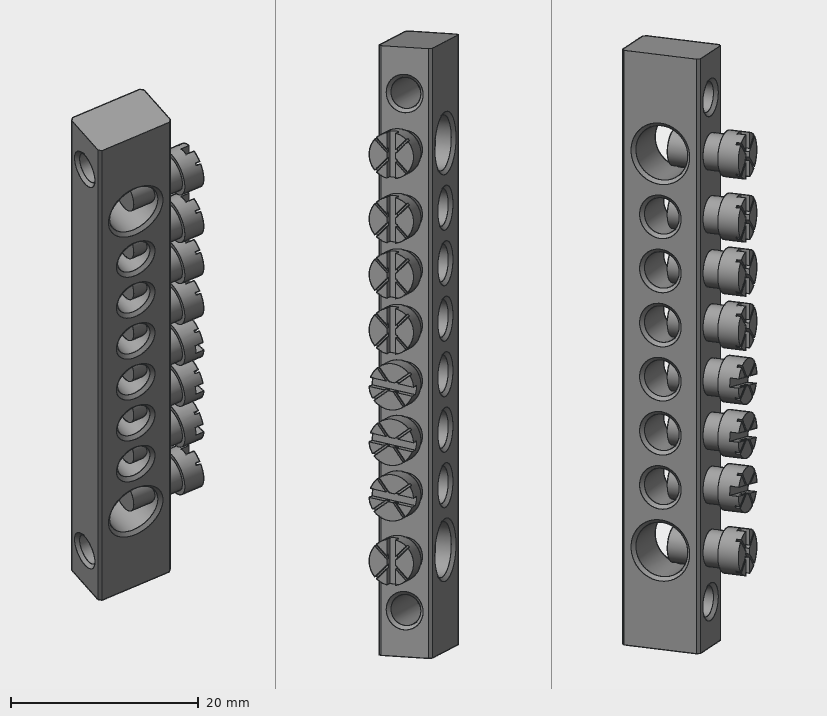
import cadquery as cq

BAR_WIDTH = 6.0
BAR_DEPTH = 9.05
BAR_HEIGHT = 66.0
BAR_EDGE_CHAMFER = 0.3

MOUNT_HOLE_DIAMETER = 3.35
MOUNT_HOLE_CHAMFER = 0.4
MOUNT_HOLE_END_DISTANCE = 5.0

SMALL_HOLE_DIAMETER = 4.0
LARGE_HOLE_DIAMETER = 6.0
WIRE_HOLE_CHAMFER = 0.4
SMALL_HOLE_COUNT = 6
SMALL_HOLE_PITCH = 6.0
LARGE_HOLE_PITCH = 7.0

SCREW_PROJECTION = 4.3
HEAD_DIAMETER = 5.0
HEAD_LENGTH = 2.4
SHANK_DIAMETER = 4.0
SCREW_LENGTH = 8.45
SLOT_WIDTH = 1.0
SLOT_DEPTH = 1.0
MARK_WIDTH = 0.25
MARK_DEPTH = 0.5
MARK_ANGLES = (45, -45)

SLOT_ALONG_BAR = 0
SLOT_ACROSS_BAR = 81
SCREW_TURNS = [SLOT_ALONG_BAR] + 3 * [SLOT_ACROSS_BAR] + 4 * [SLOT_ALONG_BAR]

SHANK_LENGTH = SCREW_LENGTH - HEAD_LENGTH
BACK_FACE_Y = BAR_DEPTH / 2
SCREW_TOP_Y = BACK_FACE_Y + SCREW_PROJECTION
SCREW_TIP_Y = SCREW_TOP_Y - SCREW_LENGTH

SMALL_ROW_HALF = (SMALL_HOLE_COUNT - 1) * SMALL_HOLE_PITCH / 2
SMALL_HOLE_HEIGHTS = [i * SMALL_HOLE_PITCH - SMALL_ROW_HALF for i in range(SMALL_HOLE_COUNT)]
LARGE_HOLE_HEIGHT = SMALL_ROW_HALF + LARGE_HOLE_PITCH
LARGE_HOLE_HEIGHTS = [-LARGE_HOLE_HEIGHT, LARGE_HOLE_HEIGHT]
SCREW_HEIGHTS = sorted(SMALL_HOLE_HEIGHTS + LARGE_HOLE_HEIGHTS)
MOUNT_HOLE_HEIGHT = BAR_HEIGHT / 2 - MOUNT_HOLE_END_DISTANCE


def chamfered_hole_cutter(diameter, length, chamfer):
    """Cutter along Z, centred on the origin, that flares at both ends."""
    radius = diameter / 2
    half = length / 2
    profile = [
        (0, -half),
        (radius + chamfer, -half),
        (radius, chamfer - half),
        (radius, half - chamfer),
        (radius + chamfer, half),
        (0, half),
    ]
    return cq.Workplane("XZ").polyline(profile).close().revolve(360, (0, 0), (0, 1))


def cut_wire_holes(bar, diameter, heights):
    """Cut holes along X at the given heights."""
    cutter = chamfered_hole_cutter(diameter, BAR_WIDTH, WIRE_HOLE_CHAMFER)
    cutter = cutter.rotate((0, 0, 0), (0, 1, 0), 90)
    for height in heights:
        bar = bar.cut(cutter.translate((0, 0, height)))
    return bar


def cut_mounting_holes(bar):
    """Cut a hole along Y near each end of the bar."""
    cutter = chamfered_hole_cutter(MOUNT_HOLE_DIAMETER, BAR_DEPTH, MOUNT_HOLE_CHAMFER)
    cutter = cutter.rotate((0, 0, 0), (1, 0, 0), 90)
    for height in (-MOUNT_HOLE_HEIGHT, MOUNT_HOLE_HEIGHT):
        bar = bar.cut(cutter.translate((0, 0, height)))
    return bar


def cut_screw_holes(bar):
    """Cut a shank-sized hole from the back face down to the tip of each screw."""
    depth = BACK_FACE_Y - SCREW_TIP_Y
    for height in SCREW_HEIGHTS:
        hole = cq.Workplane("XZ", origin=(0, BACK_FACE_Y, height)).circle(SHANK_DIAMETER / 2).extrude(depth)
        bar = bar.cut(hole)
    return bar


def make_bar():
    """Bar with chamfered long edges, mounting holes, wire holes and screw holes."""
    bar = cq.Workplane("XY").box(BAR_WIDTH, BAR_DEPTH, BAR_HEIGHT)
    bar = bar.edges("|Z").chamfer(BAR_EDGE_CHAMFER)
    bar = cut_mounting_holes(bar)
    bar = cut_wire_holes(bar, SMALL_HOLE_DIAMETER, SMALL_HOLE_HEIGHTS)
    bar = cut_wire_holes(bar, LARGE_HOLE_DIAMETER, LARGE_HOLE_HEIGHTS)
    return cut_screw_holes(bar)


def head_groove(width, depth, angle):
    """Cutter across the whole head top, turned about Y from the Z direction."""
    groove = cq.Workplane("XY").box(width, 2 * depth, 2 * HEAD_DIAMETER)
    return groove.rotate((0, 0, 0), (0, 1, 0), angle).translate((0, SCREW_TOP_Y, 0))


def make_screw(height, turn):
    """Cylindrical-head screw along Y with a slot and two fine diagonal grooves."""
    top_plane = cq.Plane(origin=(0, SCREW_TOP_Y, 0), xDir=(-1, 0, 0), normal=(0, -1, 0))
    screw = cq.Workplane(top_plane).circle(HEAD_DIAMETER / 2).extrude(HEAD_LENGTH)
    screw = screw.faces("<Y").workplane().circle(SHANK_DIAMETER / 2).extrude(SHANK_LENGTH)
    screw = screw.cut(head_groove(SLOT_WIDTH, SLOT_DEPTH, 0))
    for angle in MARK_ANGLES:
        screw = screw.cut(head_groove(MARK_WIDTH, MARK_DEPTH, angle))
    return screw.rotate((0, 0, 0), (0, 1, 0), turn).translate((0, 0, height))


bar = make_bar()
screws = [make_screw(height, turn) for height, turn in zip(SCREW_HEIGHTS, SCREW_TURNS)]

result = cq.Compound.makeCompound([bar.val(), *[screw.val() for screw in screws]])